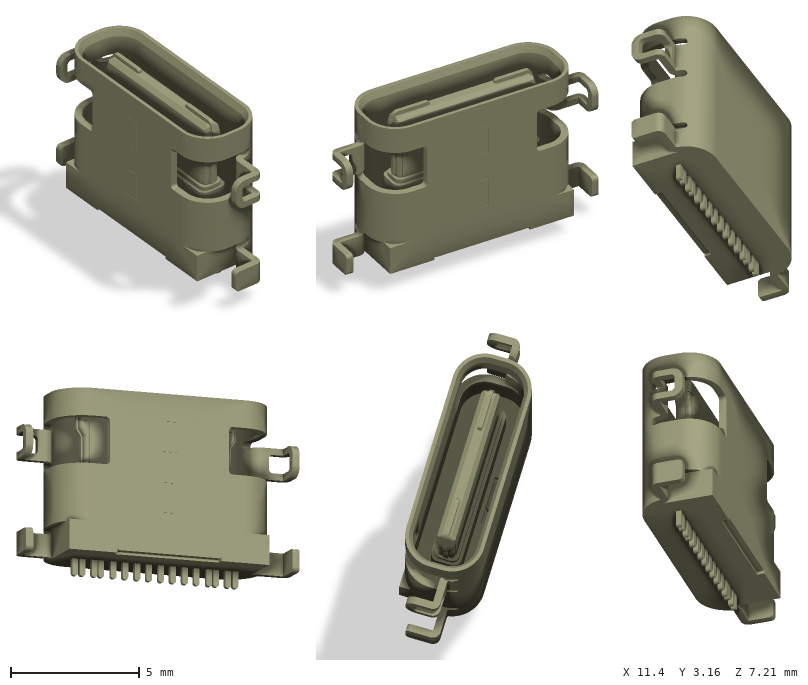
import cadquery as cq
import math

shell_half_x = 4.48
shell_half_y = 1.58
shell_radius = 1.29
shell_top = 6.52
sheet = 0.3
lead_in_width = sheet / 2
lead_in_depth = sheet
inner_half_x = shell_half_x - sheet
inner_half_y = shell_half_y - sheet
inner_radius = shell_radius - sheet
corner_x = shell_half_x - shell_radius
corner_y = shell_half_y - shell_radius

window_inner_x = 2.5
window_bottom = 3.5
window_top = 5.4
window_radius = 0.15
slot_end_y = 0.89

leg_half_x = 5.72
leg_end_y = -0.86
flange_back_y = 0.47
flange_front_y = flange_back_y - sheet
bend_radius = 0.07
sector_start_angle = 30
upper_leg_bottom = 3.82
upper_leg_top = 5.1
upper_leg_radius = 0.46
leg_hole_x = 4.83
leg_hole_end_y = -0.53
leg_hole_bottom = 4.1
leg_hole_top = 4.83
leg_hole_radius = 0.16
lower_leg_top = 0.92
lower_leg_radius = 0.17

seam_half_x = 0.3
seam_levels = [5.4, 4.19, 2.95, 1.75]
seam_gap = 0.007

detent_wall_size = (1.53, 0.87)
detent_tip_size = (0.96, 0.34)
detent_depth = 0.44
detent_z = 2.4
detent_radius = 0.16

floor_z = 1.83
foot_top = 1.2
foot_inner_x = 2.18
skirt_bottom = 0.1
foot_radius = skirt_bottom
collar_half_x = 3.31
collar_half_y = 0.62
collar_top = 3.23
collar_radius = 0.32
step_half_x = 3.2
step_half_y = 0.49
step_top = 3.4
step_radius = 0.27
pocket_half_x = 0.98
pocket_front_y = 0.79
pocket_drop = 0.23

tongue_half_y = 0.37
blade_half_y = 0.32
pad_half_x = 2.89
cap_bottom = 5.46
tongue_stem_x = 3.07
tongue_head_x = 3.25
tongue_tip_x = 3.07
tongue_tip_half_y = 0.18
notch_top = 5.18
notch_bottom = 4.87
tongue_taper_z = 5.61
tongue_shoulder_z = 6.0
tongue_tip_z = 6.16
tongue_tip_radius = 0.16
tongue_edge_radius = 0.13

plate_thickness = 0.17
plate_inner_x = 1.49
plate_stem_x = 3.14
plate_head_x = 3.33
plate_tip_x = 3.09
plate_taper_z = 5.61
plate_top = 6.32
plate_tip_radius = 0.23
plate_inner_radius = 0.1

pin_width = 0.23
pin_thickness = 0.2
pin_length = 0.69
pin_tip_radius = 0.1
pin_y = 0.07
pin_offsets = [0.25, 0.74, 1.25, 1.74, 2.25, 2.54, 3.05, 3.35]

SIDES = (-1, 1)
beyond = 0.57


def block(x0, x1, y0, y1, z0, z1):
    """Box between two opposite corners."""
    return cq.Workplane("XY").box(x1 - x0, y1 - y0, z1 - z0, centered=False).translate((x0, y0, z0))


def rounded_bar(half_x, half_y, radius, z0, z1):
    """Upright bar with a rounded rectangular section, centred on the Z axis."""
    return block(-half_x, half_x, -half_y, half_y, z0, z1).edges("|Z").fillet(radius)


def rounded_rectangle(half_x, half_y, radius):
    return cq.Sketch().rect(2 * half_x, 2 * half_y).vertices().fillet(radius)


def on_side(side, left_solid):
    """The left-hand solid itself, or its mirror image for the right-hand side."""
    return left_solid if side < 0 else left_solid.mirror("YZ")


def shell_tube():
    """Rounded tube with a tapered lead-in at the mouth."""
    tube = rounded_bar(shell_half_x, shell_half_y, shell_radius, 0, shell_top)
    cavity = rounded_bar(inner_half_x, inner_half_y, inner_radius, 0, shell_top)
    throat = rounded_rectangle(inner_half_x, inner_half_y, inner_radius)
    mouth = rounded_rectangle(
        inner_half_x + lead_in_width, inner_half_y + lead_in_width, inner_radius + lead_in_width
    )
    lead_in = (
        cq.Workplane("XY", origin=(0, 0, shell_top - lead_in_depth))
        .placeSketch(throat, mouth.moved(cq.Location(cq.Vector(0, 0, lead_in_depth))))
        .loft()
    )
    return tube.cut(cavity).cut(lead_in)


def foot_region():
    """Everything below the shell's lower edge, left of its front skirt."""
    outer_x = leg_half_x + beyond
    region = block(-outer_x, -foot_inner_x, -shell_half_y, bend_tangent_y, 0, foot_top)
    return region.edges("|Y and >X and >Z").fillet(foot_radius)


def relief_slot(z0, z1):
    """Round-ended slot that frees a leg from the side wall."""
    end_radius = (z1 - z0) / 2
    end_y = slot_end_y - end_radius
    straight = block(-leg_half_x, -corner_x, 0, end_y, z0, z1)
    round_end = (
        cq.Workplane("YZ", origin=(-leg_half_x, end_y, z0 + end_radius))
        .circle(end_radius)
        .extrude(leg_half_x - corner_x)
    )
    return straight.union(round_end)


def side_window():
    """Opening from the front wall round to the root of the upper leg."""
    opening = block(
        -leg_half_x, -window_inner_x, -shell_half_y, bend_tangent_y, window_bottom, window_top
    )
    return opening.edges("|Y and >X").fillet(window_radius)


bend_y = flange_back_y + bend_radius
bend_rise = bend_y - corner_y
bend_reach = shell_radius + bend_radius
bend_run = math.sqrt(bend_reach**2 - bend_rise**2)
bend_x = -corner_x - bend_run
bend_angle = math.degrees(math.asin(bend_rise / bend_reach))
bend_tangent_y = corner_y + shell_radius * bend_rise / bend_reach


def corner_point(radius, angle):
    """Point on the left back corner arc, the angle measured up from -X."""
    turn = math.radians(angle)
    return (-corner_x - radius * math.cos(turn), corner_y + radius * math.sin(turn))


def bend_point(radius, angle):
    """Point on the bend of the left leg, the angle measured down from +X."""
    turn = math.radians(angle)
    return (bend_x + radius * math.cos(turn), bend_y - radius * math.sin(turn))


def leg(z0, z1, radius):
    """Left leg: wall strip, outward bend, flange and forward arm, between two heights."""
    middle_angle = (bend_angle + sector_start_angle) / 2
    bend_middle = (bend_angle + 90) / 2
    arm_radius = sheet
    arm_middle = arm_radius * (1 - math.sqrt(0.5))
    arm_inner_x = -leg_half_x + sheet
    plan = (
        cq.Workplane("XY", origin=(0, 0, z0))
        .moveTo(*corner_point(shell_radius, sector_start_angle))
        .threePointArc(corner_point(shell_radius, middle_angle), corner_point(shell_radius, bend_angle))
        .threePointArc(bend_point(bend_radius, bend_middle), bend_point(bend_radius, 90))
        .lineTo(-leg_half_x + arm_radius, flange_back_y)
        .threePointArc(
            (-leg_half_x + arm_middle, flange_back_y - arm_middle),
            (-leg_half_x, flange_back_y - arm_radius),
        )
        .lineTo(-leg_half_x, leg_end_y)
        .lineTo(arm_inner_x, leg_end_y)
        .lineTo(arm_inner_x, flange_front_y)
        .lineTo(bend_x, flange_front_y)
        .threePointArc(
            bend_point(bend_radius + sheet, bend_middle), bend_point(bend_radius + sheet, bend_angle)
        )
        .threePointArc(
            corner_point(inner_radius, middle_angle), corner_point(inner_radius, sector_start_angle)
        )
        .close()
        .extrude(z1 - z0)
    )
    return plan.edges("|X and <Y").fillet(radius)


def leg_hole():
    """Opening through the flange and the arm of the upper leg."""
    hole = block(
        -leg_half_x, -leg_hole_x, leg_hole_end_y, flange_back_y, leg_hole_bottom, leg_hole_top
    )
    return hole.edges("|Y and >X").fillet(leg_hole_radius).edges("|X and <Y").fillet(leg_hole_radius)


def seam():
    """Thin jigsaw gap where the two ends of the sheet meet in the front wall."""
    points = [(-seam_half_x, shell_top + beyond)]
    x = -seam_half_x
    for level in seam_levels:
        points += [(x, level), (-x, level)]
        x = -x
    points.append((x, -beyond))
    return (
        cq.Workplane("XZ", origin=(0, -inner_half_y + lead_in_width, 0))
        .polyline(points)
        .offset2D(seam_gap / 2)
        .extrude(2 * sheet)
    )


def detent():
    """Tapered bump on the inside of the back wall."""
    bump = (
        cq.Workplane("XZ", origin=(0, inner_half_y, detent_z))
        .rect(*detent_wall_size)
        .workplane(offset=detent_depth)
        .rect(*detent_tip_size)
        .loft()
    )
    return bump.faces("<Y").edges().fillet(detent_radius)


def skirt_trim():
    """Waste below the front skirt of the shell, which ends above the foot in rounded corners."""
    strip_x = foot_inner_x + foot_radius
    skirt = block(-foot_inner_x, foot_inner_x, -shell_half_y, 0, skirt_bottom, foot_top)
    skirt = skirt.edges("|Y and <Z").fillet(foot_radius)
    return block(-strip_x, strip_x, -shell_half_y, -inner_half_y, 0, 2 * skirt_bottom).cut(skirt)


def make_shell():
    shell = shell_tube().cut(skirt_trim())
    for side in SIDES:
        shell = shell.cut(on_side(side, foot_region()))
        shell = shell.cut(on_side(side, side_window()))
        for z0, z1 in (
            (lower_leg_top, foot_top),
            (window_bottom, upper_leg_bottom),
            (upper_leg_top, window_top),
        ):
            shell = shell.cut(on_side(side, relief_slot(z0, z1)))
        upper_leg = leg(upper_leg_bottom, upper_leg_top, upper_leg_radius).cut(leg_hole())
        lower_leg = leg(0, lower_leg_top, lower_leg_radius)
        shell = shell.union(on_side(side, upper_leg)).union(on_side(side, lower_leg))
    return shell.union(detent()).cut(seam())


def mirrored_outline(right_points):
    """Closed outline from its right-hand points, listed from bottom to top."""
    return right_points + [(-x, z) for x, z in reversed(right_points)]


def tongue_blade(half_y):
    """Round-edged blade of the given half thickness, with a latch notch in each side."""
    blade = (
        cq.Workplane("XZ", origin=(0, half_y, 0))
        .polyline(
            mirrored_outline(
                [
                    (tongue_stem_x, floor_z),
                    (tongue_stem_x, notch_bottom),
                    (tongue_head_x, notch_top),
                    (tongue_head_x, tongue_taper_z),
                    (tongue_tip_x, tongue_tip_z),
                ]
            )
        )
        .close()
        .extrude(2 * half_y)
    )
    blade = blade.faces(">Z").edges("|Y").fillet(tongue_tip_radius)
    return blade.faces("<Y or >Y").edges("not <Z").fillet(tongue_edge_radius)


def tongue():
    """Thin blade with a raised pad on each face, under a thicker cap with a tapered tip."""
    cap_space = block(
        -tongue_head_x, tongue_head_x, -tongue_half_y, tongue_half_y, cap_bottom, tongue_tip_z
    )
    cap = tongue_blade(tongue_half_y).intersect(cap_space)
    pads = block(-pad_half_x, pad_half_x, -tongue_half_y, tongue_half_y, floor_z, tongue_tip_z)
    tip = (
        cq.Workplane("YZ", origin=(-tongue_head_x, 0, 0))
        .polyline(
            mirrored_outline(
                [
                    (tongue_half_y, floor_z),
                    (tongue_half_y, tongue_shoulder_z),
                    (tongue_tip_half_y, tongue_tip_z),
                ]
            )
        )
        .close()
        .extrude(2 * tongue_head_x)
    )
    return tongue_blade(blade_half_y).union(pads).union(cap).intersect(tip)


def make_plate(side):
    """Latch plate set edge-on in the tongue, standing a little proud of it."""
    plate = (
        cq.Workplane("XZ", origin=(0, plate_thickness / 2, 0))
        .polyline(
            [
                (-plate_inner_x, floor_z),
                (-plate_inner_x, plate_top),
                (-plate_tip_x, plate_top),
                (-plate_head_x, plate_taper_z),
                (-plate_head_x, notch_top),
                (-plate_stem_x, notch_bottom),
                (-plate_stem_x, floor_z),
            ]
        )
        .close()
        .extrude(plate_thickness)
    )
    top_edges = plate.faces(">Z").edges("|Y")
    plate = top_edges.edges("<X").fillet(plate_tip_radius)
    plate = plate.faces(">Z").edges("|Y").edges(">X").fillet(plate_inner_radius)
    return on_side(side, plate)


def floor_pocket():
    """Pocket behind the tongue whose bottom falls away towards the back wall."""
    return (
        cq.Workplane("YZ", origin=(-pocket_half_x, 0, 0))
        .polyline(
            [
                (pocket_front_y, floor_z),
                (inner_half_y, floor_z),
                (inner_half_y, floor_z - 2 * pocket_drop),
                (pocket_front_y, floor_z - pocket_drop),
            ]
        )
        .close()
        .extrude(2 * pocket_half_x)
    )


def pin(x):
    """Terminal pin with a rounded tip, rooted in the underside of the housing."""
    half = pin_width / 2
    shank = block(
        x - half, x + half, pin_y - pin_thickness / 2, pin_y + pin_thickness / 2, -pin_length, 0
    )
    return shank.edges("|Y and <Z").fillet(pin_tip_radius)


def make_housing(plates):
    housing = rounded_bar(inner_half_x, inner_half_y, inner_radius, 0, floor_z).cut(floor_pocket())
    foot_limit = block(-inner_half_x, inner_half_x, -shell_half_y, 0, 0, foot_top)
    for side in SIDES:
        housing = housing.union(on_side(side, foot_region()).intersect(foot_limit))
    housing = housing.union(rounded_bar(collar_half_x, collar_half_y, collar_radius, floor_z, collar_top))
    housing = housing.union(rounded_bar(step_half_x, step_half_y, step_radius, floor_z, step_top))
    housing = housing.union(tongue())
    for offset in pin_offsets:
        for side in SIDES:
            housing = housing.union(pin(side * offset))
    for plate in plates:
        housing = housing.cut(plate)
    return housing


shell = make_shell()
latch_plates = [make_plate(side) for side in SIDES]
housing = make_housing(latch_plates)

result = cq.Compound.makeCompound(
    [body.solids().val() for body in (shell, housing, *latch_plates)]
)